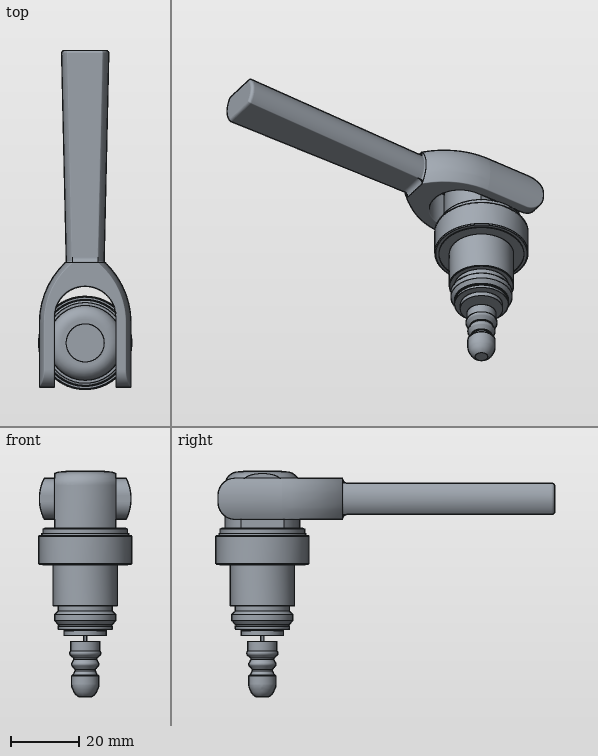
import cadquery as cq
import math


TOTAL_HEIGHT = 66.4
HEAD_DIA = 22.0
HEAD_ACROSS_FLATS = 18.0
HEAD_ROUND = 4.0
BUTTON_DIA = 11.2
BUTTON_RISE = 0.2
HEAD_TOP_Z = TOTAL_HEIGHT - BUTTON_RISE

SHOULDER_DIA = 25.0
SHOULDER_TOP_Z = 49.6
SHOULDER_CHAMFER_HEIGHT = 0.25
SHOULDER_CHAMFER_WIDTH = 0.65
SHOULDER_FOOT_DIA = 25.6
SHOULDER_FOOT_TOP_Z = 48.0
COLLAR_DIA = 27.5
COLLAR_TOP_Z = 47.5
COLLAR_BOTTOM_Z = 39.0
COLLAR_LIP_BOTTOM_Z = 38.75
COLLAR_CHAMFER = 0.3

STEM_DIA = 19.0
STEM_BOTTOM_Z = 26.7
STEM_CHAMFER = 0.2
SEAT_DIA = 16.0
SEAT_BOTTOM_Z = 19.8
SEAT_CHAMFER_HEIGHT = 0.4
SEAT_CHAMFER_WIDTH = 0.1
SEAT_GROOVE_DIA = 15.6
SEAT_GROOVE_TOP_Z = 21.1
SEAT_GROOVE_BOTTOM_Z = 20.75
SEAL_DIA = 18.0
SEAL_TOP_Z = 24.3
SEAL_BOTTOM_Z = 22.5
SEAL_UPPER_SLOPE = 0.9
SEAL_LOWER_SLOPE = 1.2
DISC_NECK_DIA = 6.8
DISC_DIA = 12.5
DISC_TOP_Z = 19.5
DISC_BOTTOM_Z = 18.05

CONNECTOR_DIA = 1.0
TIP_TOP_Z = 16.3
TIP_TOP_DIA = 8.6
BEAD_DIA = 9.2
BEAD_TOP_Z = 13.5
BEAD_BOTTOM_Z = 12.2
UPPER_GROOVE_DIA = 6.8
UPPER_GROOVE_TOP_Z = 11.4
UPPER_GROOVE_BOTTOM_Z = 11.0
RIB_DIA = 8.09
RIB_SHOULDER_DIA = 7.8
RIB_TOP_Z = 10.05
RIB_BOTTOM_Z = 9.15
LOWER_GROOVE_DIA = 6.0
LOWER_GROOVE_TOP_Z = 8.1
LOWER_GROOVE_BOTTOM_Z = 7.65
NOSE_CONE_DIA = 7.2
NOSE_DIA = 8.09
NOSE_TOP_Z = 6.2
NOSE_CONE_END_Z = 6.45
NOSE_STRAIGHT_END_Z = 3.55
NOSE_BELLY_DIA = 7.93
NOSE_BELLY_Z = 2.95
NOSE_KNEE_DIA = 7.2
NOSE_KNEE_Z = 2.1
NOSE_LOWER_DIA = 6.0
NOSE_LOWER_Z = 0.95
NOSE_END_DIA = 3.7

LEVER_Z = 58.25
FORK_HEIGHT = 12.1
FORK_HALF_WIDTH = 13.5
FORK_SIDE_BULGE = 1.45
FORK_END_Y = -13.05
FORK_END_ROUND = 5.0
FORK_BEND_Y = 5.9
FORK_BEND_RADIUS = 24.4
FORK_NECK_Y = 23.6
FORK_EDGE_ROUND = 0.3
SLOT_RADIUS = HEAD_ACROSS_FLATS / 2
SLOT_CENTRE_Y = 7.6

HANDLE_HEIGHT = 9.2
HANDLE_END_Y = 86.0
HANDLE_NECK_HALF_WIDTH = 5.6
HANDLE_END_HALF_WIDTH = 7.0
HANDLE_SIDE_BULGE = 1.8
HANDLE_END_ROUND = 0.9
HANDLE_EDGE_ROUND = 0.3
HANDLE_ROOT_ROUND = 0.4

TOLERANCE = 0.01


def cylinder(diameter, bottom_z, top_z):
    return cq.Workplane("XY").workplane(offset=bottom_z).circle(diameter / 2).extrude(top_z - bottom_z)


def make_head():
    head = cylinder(HEAD_DIA, COLLAR_TOP_Z, HEAD_TOP_Z).faces(">Z").edges().fillet(HEAD_ROUND)
    flats = cq.Workplane("XY").box(HEAD_ACROSS_FLATS, HEAD_DIA, TOTAL_HEIGHT, centered=(True, True, False))
    return head.intersect(flats).union(cylinder(BUTTON_DIA, COLLAR_TOP_Z, TOTAL_HEIGHT))


def make_collar():
    collar = cylinder(COLLAR_DIA, COLLAR_BOTTOM_Z, COLLAR_TOP_Z).edges().chamfer(COLLAR_CHAMFER)
    collar = collar.union(cylinder(SHOULDER_FOOT_DIA, COLLAR_BOTTOM_Z, SHOULDER_FOOT_TOP_Z))
    shoulder = cylinder(SHOULDER_DIA, COLLAR_LIP_BOTTOM_Z, SHOULDER_TOP_Z)
    shoulder = shoulder.faces(">Z").edges().chamfer(SHOULDER_CHAMFER_HEIGHT, SHOULDER_CHAMFER_WIDTH)
    return collar.union(shoulder)


def make_stem():
    """Stem with a stepped seat, a raised seal around it, and the disc on its neck below."""
    stem = cylinder(STEM_DIA, STEM_BOTTOM_Z, COLLAR_TOP_Z).faces("<Z").edges().chamfer(STEM_CHAMFER)
    seat = cylinder(SEAT_DIA, SEAT_BOTTOM_Z, COLLAR_TOP_Z)
    seat = seat.faces("<Z").edges().chamfer(SEAT_CHAMFER_HEIGHT, SEAT_CHAMFER_WIDTH)
    groove = cylinder(SEAT_DIA, SEAT_GROOVE_BOTTOM_Z, SEAT_GROOVE_TOP_Z)
    groove = groove.cut(cylinder(SEAT_GROOVE_DIA, SEAT_GROOVE_BOTTOM_Z, SEAT_GROOVE_TOP_Z))
    seat = seat.cut(groove)
    seal = (
        cq.Workplane("XZ")
        .moveTo(0, SEAL_TOP_Z + SEAL_UPPER_SLOPE)
        .lineTo(SEAT_DIA / 2, SEAL_TOP_Z + SEAL_UPPER_SLOPE)
        .lineTo(SEAL_DIA / 2, SEAL_TOP_Z)
        .lineTo(SEAL_DIA / 2, SEAL_BOTTOM_Z)
        .lineTo(SEAT_DIA / 2, SEAL_BOTTOM_Z - SEAL_LOWER_SLOPE)
        .lineTo(0, SEAL_BOTTOM_Z - SEAL_LOWER_SLOPE)
        .close()
        .revolve()
    )
    neck = cylinder(DISC_NECK_DIA, DISC_TOP_Z, STEM_BOTTOM_Z)
    disc = cylinder(DISC_DIA, DISC_BOTTOM_Z, DISC_TOP_Z)
    return stem.union(seat).union(seal).union(neck).union(disc)


def make_tip():
    """Barbed tip, joined to the disc above by a thin pin."""
    bead_mid_z = (BEAD_TOP_Z + BEAD_BOTTOM_Z) / 2
    rib_mid_z = (RIB_TOP_Z + RIB_BOTTOM_Z) / 2
    tip = (
        cq.Workplane("XZ")
        .moveTo(0, TIP_TOP_Z)
        .lineTo(TIP_TOP_DIA / 2, TIP_TOP_Z)
        .lineTo(TIP_TOP_DIA / 2, BEAD_TOP_Z)
        .threePointArc((BEAD_DIA / 2, bead_mid_z), (TIP_TOP_DIA / 2, BEAD_BOTTOM_Z))
        .lineTo(UPPER_GROOVE_DIA / 2, UPPER_GROOVE_TOP_Z)
        .lineTo(UPPER_GROOVE_DIA / 2, UPPER_GROOVE_BOTTOM_Z)
        .lineTo(RIB_SHOULDER_DIA / 2, RIB_TOP_Z)
        .threePointArc((RIB_DIA / 2, rib_mid_z), (RIB_SHOULDER_DIA / 2, RIB_BOTTOM_Z))
        .lineTo(LOWER_GROOVE_DIA / 2, LOWER_GROOVE_TOP_Z)
        .lineTo(LOWER_GROOVE_DIA / 2, LOWER_GROOVE_BOTTOM_Z)
        .lineTo(NOSE_CONE_DIA / 2, NOSE_CONE_END_Z)
        .lineTo(NOSE_DIA / 2, NOSE_TOP_Z)
        .lineTo(NOSE_DIA / 2, NOSE_STRAIGHT_END_Z)
        .threePointArc((NOSE_BELLY_DIA / 2, NOSE_BELLY_Z), (NOSE_KNEE_DIA / 2, NOSE_KNEE_Z))
        .threePointArc((NOSE_LOWER_DIA / 2, NOSE_LOWER_Z), (NOSE_END_DIA / 2, 0))
        .lineTo(0, 0)
        .close()
        .revolve()
    )
    return tip.union(cylinder(CONNECTOR_DIA, TIP_TOP_Z, DISC_TOP_Z))


def fork_section(y):
    """Half section of the fork at the given Y, from the bend axis to the bulging outer side."""
    axis_x = FORK_HALF_WIDTH - FORK_BEND_RADIUS
    edge_x = FORK_HALF_WIDTH - FORK_SIDE_BULGE
    top_z = LEVER_Z + FORK_HEIGHT / 2
    bottom_z = LEVER_Z - FORK_HEIGHT / 2
    return (
        cq.Workplane("XZ", origin=(0, y, 0))
        .moveTo(axis_x, bottom_z)
        .lineTo(edge_x, bottom_z)
        .threePointArc((FORK_HALF_WIDTH, LEVER_Z), (edge_x, top_z))
        .lineTo(axis_x, top_z)
        .close()
    )


def make_fork():
    axis_x = FORK_HALF_WIDTH - FORK_BEND_RADIUS
    arm = fork_section(FORK_BEND_Y).extrude(FORK_BEND_Y - FORK_END_Y)
    bend = fork_section(FORK_BEND_Y).revolve(90, (axis_x, 0, 0), (axis_x, 1, 0))
    keep = (
        cq.Workplane("XY")
        .box(FORK_HALF_WIDTH, FORK_NECK_Y - FORK_END_Y, TOTAL_HEIGHT, centered=False)
        .translate((0, FORK_END_Y, 0))
    )
    half = arm.union(bend).intersect(keep)
    fork = half.union(half.mirror("YZ"))
    slot = (
        cq.Workplane("XY")
        .moveTo(-SLOT_RADIUS, FORK_END_Y)
        .lineTo(SLOT_RADIUS, FORK_END_Y)
        .lineTo(SLOT_RADIUS, SLOT_CENTRE_Y)
        .threePointArc((0, SLOT_CENTRE_Y + SLOT_RADIUS), (-SLOT_RADIUS, SLOT_CENTRE_Y))
        .close()
        .extrude(TOTAL_HEIGHT)
    )
    fork = fork.cut(slot)
    end_profile = (
        cq.Workplane("YZ")
        .center((FORK_END_Y + FORK_NECK_Y) / 2, LEVER_Z)
        .rect(FORK_NECK_Y - FORK_END_Y, FORK_HEIGHT)
        .extrude(FORK_HALF_WIDTH, both=True)
        .edges("|X and <Y")
        .fillet(FORK_END_ROUND)
    )
    fork = fork.intersect(end_profile)
    rims = fork.edges().filter(lambda edge: edge.BoundingBox().ylen > FORK_EDGE_ROUND)
    return rims.fillet(FORK_EDGE_ROUND)


def handle_section(y, half_width):
    edge_x = half_width - HANDLE_SIDE_BULGE
    top_z = LEVER_Z + HANDLE_HEIGHT / 2
    bottom_z = LEVER_Z - HANDLE_HEIGHT / 2
    return (
        cq.Workplane("XZ", origin=(0, y, 0))
        .moveTo(-edge_x, bottom_z)
        .lineTo(edge_x, bottom_z)
        .threePointArc((half_width, LEVER_Z), (edge_x, top_z))
        .lineTo(-edge_x, top_z)
        .threePointArc((-half_width, LEVER_Z), (-edge_x, bottom_z))
        .close()
        .wire()
        .val()
    )


def make_handle():
    neck = handle_section(FORK_NECK_Y, HANDLE_NECK_HALF_WIDTH)
    end = handle_section(HANDLE_END_Y, HANDLE_END_HALF_WIDTH)
    handle = cq.Workplane(cq.Solid.makeLoft([neck, end], True))
    handle = handle.faces(">Y").edges().fillet(HANDLE_END_ROUND)
    long_edges = handle.edges().filter(lambda edge: edge.BoundingBox().ylen > HANDLE_HEIGHT)
    return long_edges.fillet(HANDLE_EDGE_ROUND)


def make_neck_fillets():
    """Hollow rounds that lead from the handle up and down to the taller fork."""
    step = (FORK_HEIGHT - HANDLE_HEIGHT) / 2
    flat_half_width = HANDLE_NECK_HALF_WIDTH - HANDLE_SIDE_BULGE
    fork_top_z = LEVER_Z + FORK_HEIGHT / 2
    handle_top_z = LEVER_Z + HANDLE_HEIGHT / 2
    arc_offset = step * (1 - math.sqrt(0.5))
    upper = (
        cq.Workplane("YZ")
        .moveTo(FORK_NECK_Y, LEVER_Z)
        .lineTo(FORK_NECK_Y, fork_top_z)
        .threePointArc(
            (FORK_NECK_Y + arc_offset, handle_top_z + arc_offset),
            (FORK_NECK_Y + step, handle_top_z),
        )
        .lineTo(FORK_NECK_Y + step, LEVER_Z)
        .close()
        .extrude(flat_half_width, both=True)
    )
    lower = upper.mirror("XY", (0, 0, LEVER_Z))
    return upper.union(lower)


def is_handle_root(edge):
    """True for the edges where the handle meets the end face of the fork."""
    box = edge.BoundingBox()
    reach_y = max(abs(box.ymin - FORK_NECK_Y), abs(box.ymax - FORK_NECK_Y))
    reach_z = max(abs(box.zmin - LEVER_Z), abs(box.zmax - LEVER_Z))
    return reach_y < TOLERANCE and reach_z < HANDLE_HEIGHT / 2 + TOLERANCE


def make_lever():
    lever = make_fork().union(make_handle())
    lever = lever.edges().filter(is_handle_root).fillet(HANDLE_ROOT_ROUND)
    return lever.union(make_neck_fillets())


plug = make_head().union(make_collar()).union(make_stem()).union(make_tip())
result = plug.union(make_lever())